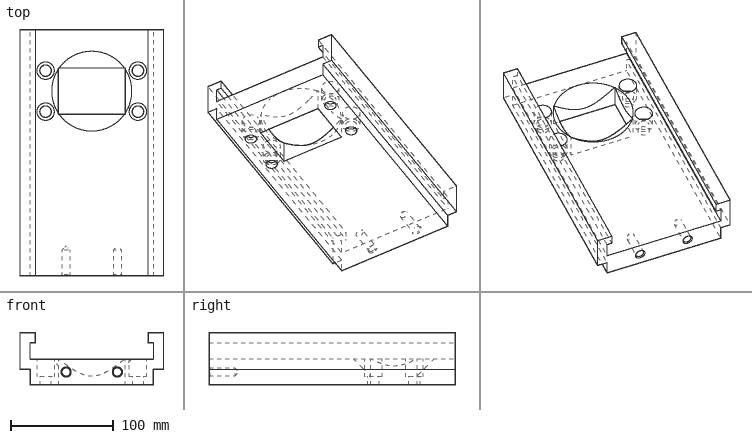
import cadquery as cq
import math

width = 140.0
length = 240.0
height = 51.0

wall = 10.0
lip_thickness = 10.0
lip_width = 15.0
floor_z = 25.0
ledge_z = floor_z - wall

window_end_distance = 60.0
window_y = length / 2 - window_end_distance
window_x_size = 65.0
window_y_size = 45.0
cone_radius = 39.0
cone_depth = cone_radius

bolt_x_spacing = 90.0
bolt_y_spacing = 40.0
bolt_diameter = 11.0
counterbore_diameter = 17.0
counterbore_depth = 17.0

end_hole_spacing = 50.0
end_hole_z = floor_z / 2
end_hole_diameter = 8.0
end_countersink_diameter = 10.0
end_hole_depth = 25.0
drill_point_angle = 90.0


def channel():
    """Channel with inward lips, standing on a narrower base."""
    outer = width / 2
    inner = outer - wall
    lip_edge = outer - lip_width
    lip_z = height - lip_thickness
    right_half = [
        (0, 0),
        (inner, 0),
        (inner, ledge_z),
        (outer, ledge_z),
        (outer, height),
        (lip_edge, height),
        (lip_edge, lip_z),
        (inner, lip_z),
        (inner, floor_z),
        (0, floor_z),
    ]
    half = cq.Workplane("XZ").polyline(right_half).close().extrude(length / 2, both=True)
    return half.union(half.mirror("YZ")).clean()


def window():
    """Rectangular opening through the floor, widened by a cone sunk from the floor."""
    opening = cq.Workplane("XY").center(0, window_y).rect(window_x_size, window_y_size).extrude(floor_z)
    cone = cq.Solid.makeCone(
        cone_radius, 0, cone_depth, cq.Vector(0, window_y, floor_z), cq.Vector(0, 0, -1)
    )
    return opening.union(cq.Workplane(cone))


def bolt_pattern(diameter, bottom_z):
    """Four cylinders around the window, from bottom_z up to the channel floor."""
    return (
        cq.Workplane("XY", origin=(0, window_y, bottom_z))
        .rect(bolt_x_spacing, bolt_y_spacing, forConstruction=True)
        .vertices()
        .circle(diameter / 2)
        .extrude(floor_z - bottom_z)
    )


def bolt_holes():
    """Four through holes, counterbored from the channel floor."""
    shanks = bolt_pattern(bolt_diameter, 0)
    heads = bolt_pattern(counterbore_diameter, floor_z - counterbore_depth)
    return shanks.union(heads)


def end_hole(x):
    """Blind drilled hole with a 90 degree countersink and a conical bottom."""
    radius = end_hole_diameter / 2
    rim_radius = end_countersink_diameter / 2
    face_y = -length / 2
    countersink_y = face_y + rim_radius - radius
    bottom_y = face_y + end_hole_depth
    tip_y = bottom_y + radius / math.tan(math.radians(drill_point_angle / 2))
    profile = [
        (0, face_y),
        (rim_radius, face_y),
        (radius, countersink_y),
        (radius, bottom_y),
        (0, tip_y),
    ]
    drill = cq.Workplane("XY").polyline(profile).close().revolve(360, (0, 0, 0), (0, 1, 0))
    return drill.translate((x, 0, end_hole_z))


result = channel().cut(window()).cut(bolt_holes())
for side in (-1, 1):
    result = result.cut(end_hole(side * end_hole_spacing / 2))